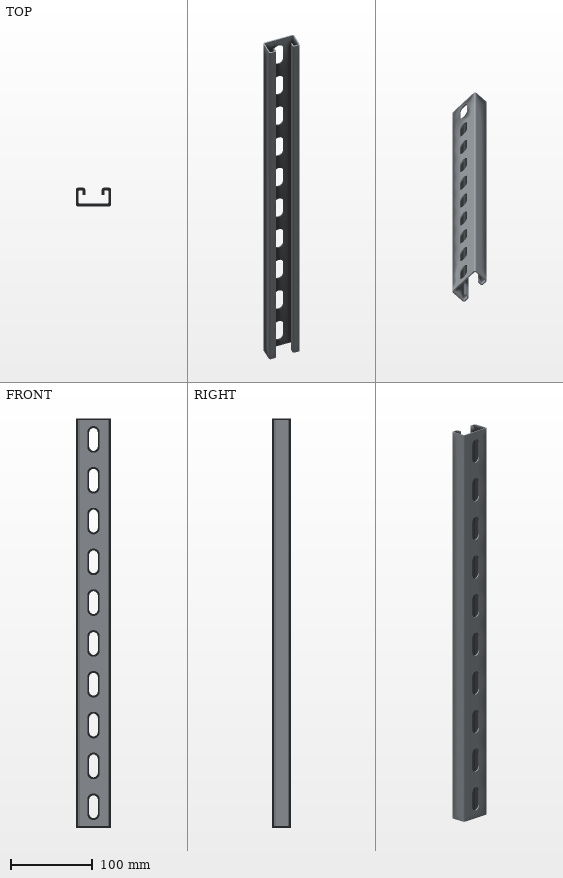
import cadquery as cq

WIDTH = 41.0
DEPTH = 21.0
LENGTH = 500.0

SHEET = 1.5
OUTER_BEND = 2.25
INNER_BEND = 1.0
MOUTH_WIDTH = 22.0
LIP_LENGTH = 7.0

SLOT_COUNT = 10
SLOT_PITCH = LENGTH / SLOT_COUNT
SLOT_WIDTH = 12.5
SLOT_LENGTH = 30.0


def bar(x_min, x_max, y_min, y_max):
    """Full-length upright bar with a rectangular cross-section."""
    return (
        cq.Workplane("XY")
        .box(x_max - x_min, y_max - y_min, LENGTH, centered=False)
        .translate((x_min, y_min, 0))
    )


def rounded_bar(x_min, x_max, y_min, y_max, radius):
    """Full-length upright bar with all four long edges rounded."""
    return bar(x_min, x_max, y_min, y_max).edges("|Z").fillet(radius)


def lipped_channel():
    """C-shaped channel with its two lips turned back into the mouth."""
    half_width = WIDTH / 2
    half_mouth = MOUTH_WIDTH / 2
    lip_end = DEPTH - LIP_LENGTH

    outside = rounded_bar(-half_width, half_width, 0, DEPTH, OUTER_BEND)
    hollow = rounded_bar(
        -half_width + SHEET, half_width - SHEET, SHEET, DEPTH - SHEET, INNER_BEND
    )
    channel = outside.cut(hollow)
    channel = channel.cut(bar(-half_mouth, half_mouth, DEPTH - SHEET, DEPTH))

    right_lip = bar(half_mouth, half_mouth + OUTER_BEND, lip_end, DEPTH)
    right_lip = right_lip.cut(
        rounded_bar(half_mouth + SHEET, half_width - SHEET, 0, DEPTH - SHEET, INNER_BEND)
    )
    channel = channel.union(right_lip).union(right_lip.mirror("YZ"))

    mouth_corners = cq.selectors.BoxSelector(
        (-half_mouth - SHEET / 2, DEPTH - SHEET / 2, 0),
        (half_mouth + SHEET / 2, DEPTH + SHEET / 2, LENGTH),
    )
    return channel.edges("|Z").edges(mouth_corners).fillet(OUTER_BEND)


def web_slots():
    """Evenly spaced upright slots through the web."""
    centres = [(0, SLOT_PITCH * (index + 0.5)) for index in range(SLOT_COUNT)]
    return (
        cq.Workplane("XZ")
        .pushPoints(centres)
        .slot2D(SLOT_LENGTH, SLOT_WIDTH, angle=90)
        .extrude(-SHEET)
    )


result = lipped_channel().cut(web_slots()).translate((0, -DEPTH / 2, -LENGTH / 2))